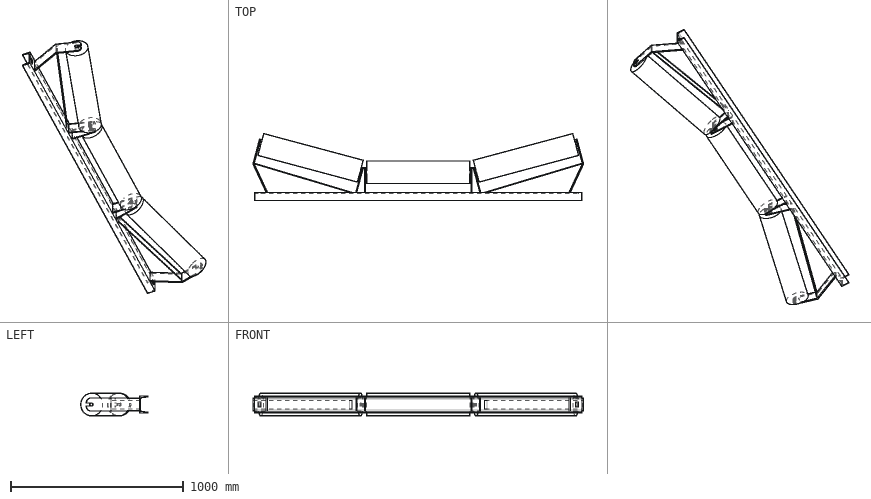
import cadquery as cq
import math


BEAM_LENGTH = 1900.0
BEAM_HEIGHT = 100.0
BEAM_DEPTH = 48.0
WEB_THICKNESS = 5.0
FLANGE_TIP_THICKNESS = 5.0
FLANGE_ROOT_THICKNESS = 12.0
ROOT_FILLET = 8.0

SLOT_WIDTH = 17.0
SLOT_LENGTH = 29.0
SLOT_X = 921.0

ROLLER_DIAMETER = 132.0
ROLLER_LENGTH = 599.0
TROUGH_ANGLE = 15.0
CENTRE_AXIS_Y = 165.0
WING_INNER_X = 335.0
WING_INNER_Y = 170.0
SHAFT_DIAMETER = 20.0

STRIP_WIDTH = 75.0
STRIP_CORNER = 27.0
NOTCH_CUT_LENGTH = 23.0

BEND_OUTERMOST_X = 960.0
BEND_Y = 213.0
BEND_RADIUS = 10.0
LEG_ANGLE = 25.0
OUTER_PLATE_LENGTH = 150.0
OUTER_THICKNESS = 8.0

INNER_LEG_X = 305.0
INNER_FOOT_X = 363.0
INNER_TOP_Y = 192.0
INNER_THICKNESS = 5.0

BRACE_FOOT_X = 385.0
BRACE_THICKNESS = 4.0
BRACE_WIDTH = 50.0

tilt = math.radians(TROUGH_ANGLE)
along = (math.cos(tilt), math.sin(tilt))
across = (-math.sin(tilt), math.cos(tilt))


def point(start, direction, distance):
    return (start[0] + distance * direction[0], start[1] + distance * direction[1])


def mid_extrude(outline, width):
    """Closed XY outline made into a solid of this width, centred on Z = 0."""
    return cq.Workplane("XY").polyline(outline).close().extrude(width / 2, both=True)


wing_inner = (WING_INNER_X, WING_INNER_Y)
wing_outer = point(wing_inner, along, ROLLER_LENGTH)

lean = math.radians(LEG_ANGLE)
half_bend = (lean + tilt) / 2
halving_angle = (tilt - lean) / 2
halving_line = (math.cos(halving_angle), math.sin(halving_angle))
bend_centre_x = BEND_OUTERMOST_X - BEND_RADIUS
outer_bend = (bend_centre_x + BEND_RADIUS / math.cos(half_bend) * halving_line[0], BEND_Y)
inner_bend = point(outer_bend, halving_line, -OUTER_THICKNESS / math.cos(half_bend))
outer_foot_x = outer_bend[0] - (BEND_Y - BEAM_DEPTH) * math.tan(lean)


def distance_along_wing(p):
    return (p[0] - wing_inner[0]) * along[0] + (p[1] - wing_inner[1]) * along[1]


outer_reach = distance_along_wing(outer_bend) - ROLLER_LENGTH
inner_reach = INNER_THICKNESS - distance_along_wing((INNER_FOOT_X, BEAM_DEPTH))
centre_reach = INNER_LEG_X + INNER_THICKNESS - ROLLER_LENGTH / 2


def make_beam():
    half = BEAM_HEIGHT / 2
    tip_z = half - FLANGE_TIP_THICKNESS
    root_z = half - FLANGE_ROOT_THICKNESS
    web_y = BEAM_DEPTH - WEB_THICKNESS
    outline = [
        (BEAM_DEPTH, -half), (BEAM_DEPTH, half), (0, half), (0, tip_z),
        (web_y, root_z), (web_y, -root_z), (0, -tip_z), (0, -half),
    ]
    body = cq.Workplane("YZ").polyline(outline).close().extrude(BEAM_LENGTH / 2, both=True)
    for z in (-root_z, root_z):
        body = body.edges(cq.selectors.NearestToPointSelector((0, web_y, z))).fillet(ROOT_FILLET)
    slots = (
        cq.Workplane("XZ").pushPoints([(-SLOT_X, 0), (SLOT_X, 0)])
        .rect(SLOT_WIDTH, SLOT_LENGTH).extrude(-BEAM_DEPTH)
    )
    return body.cut(slots)


def make_roller(start, direction, near_reach, far_reach):
    """Roller from its start point, with a shaft that reaches past both ends."""
    plane = cq.Plane((start[0], start[1], 0), (0, 0, 1), (direction[0], direction[1], 0))
    shell = cq.Workplane(plane).circle(ROLLER_DIAMETER / 2).extrude(ROLLER_LENGTH)
    shaft = (
        cq.Workplane(plane).workplane(offset=-near_reach)
        .circle(SHAFT_DIAMETER / 2).extrude(near_reach + ROLLER_LENGTH + far_reach)
    )
    return shell.union(shaft)


def shaft_notch(axis_point, direction, depth):
    """Cutter for a round-bottomed notch for a shaft, open on the side away from the beam."""
    plane = cq.Plane((axis_point[0], axis_point[1], 0), (0, 0, -1), (direction[0], direction[1], 0))
    seat = cq.Workplane(plane).circle(SHAFT_DIAMETER / 2).extrude(depth / 2, both=True)
    mouth = (
        cq.Workplane(plane).center(0, STRIP_WIDTH / 2)
        .rect(SHAFT_DIAMETER, STRIP_WIDTH).extrude(depth / 2, both=True)
    )
    return seat.union(mouth)


def make_outer_bracket():
    inner_foot_x = outer_foot_x - OUTER_THICKNESS / math.cos(lean)
    tip = point(outer_bend, across, OUTER_PLATE_LENGTH)
    inner_tip = point(tip, along, -OUTER_THICKNESS)
    body = mid_extrude(
        [(outer_foot_x, BEAM_DEPTH), outer_bend, tip, inner_tip, inner_bend, (inner_foot_x, BEAM_DEPTH)],
        STRIP_WIDTH,
    )
    body = body.edges(cq.selectors.NearestToPointSelector((*outer_bend, 0))).fillet(BEND_RADIUS)
    mid_tip = point(tip, along, -OUTER_THICKNESS / 2)
    for z in (-STRIP_WIDTH / 2, STRIP_WIDTH / 2):
        body = body.edges(cq.selectors.NearestToPointSelector((*mid_tip, z))).fillet(STRIP_CORNER)
    seat = point(wing_outer, along, outer_reach)
    return body.cut(shaft_notch(seat, along, NOTCH_CUT_LENGTH))


def make_inner_bracket():
    shift = math.tan(tilt)
    inside_y = INNER_TOP_Y - INNER_THICKNESS
    lean_thickness = INNER_THICKNESS / math.cos(tilt)
    outer_top_x = INNER_FOOT_X - (INNER_TOP_Y - BEAM_DEPTH) * shift
    inside_top_x = INNER_FOOT_X - lean_thickness - (inside_y - BEAM_DEPTH) * shift
    outline = [
        (INNER_LEG_X, BEAM_DEPTH), (INNER_LEG_X, INNER_TOP_Y), (outer_top_x, INNER_TOP_Y),
        (INNER_FOOT_X, BEAM_DEPTH), (INNER_FOOT_X - lean_thickness, BEAM_DEPTH),
        (inside_top_x, inside_y), (INNER_LEG_X + INNER_THICKNESS, inside_y),
        (INNER_LEG_X + INNER_THICKNESS, BEAM_DEPTH),
    ]
    body = mid_extrude(outline, STRIP_WIDTH)
    wing_seat = point(wing_inner, along, -inner_reach)
    body = body.cut(shaft_notch(wing_seat, along, NOTCH_CUT_LENGTH))
    return body.cut(shaft_notch((INNER_LEG_X, CENTRE_AXIS_Y), (1, 0), NOTCH_CUT_LENGTH))


def make_brace():
    brace_angle = math.atan2(inner_bend[1] - BEAM_DEPTH, inner_bend[0] - BRACE_FOOT_X)
    foot_length = BRACE_THICKNESS / math.sin(brace_angle)
    head_length = BRACE_THICKNESS / math.cos(brace_angle - tilt)
    outline = [
        (BRACE_FOOT_X, BEAM_DEPTH), (BRACE_FOOT_X + foot_length, BEAM_DEPTH), inner_bend,
        point(inner_bend, across, head_length),
    ]
    return mid_extrude(outline, BRACE_WIDTH)


def both_sides(body):
    """The +X body and its mirror image, as two solids."""
    return [body.val(), body.mirror("YZ").val()]


beam = make_beam()
centre_roller = make_roller((-ROLLER_LENGTH / 2, CENTRE_AXIS_Y), (1, 0), centre_reach, centre_reach)
wing_rollers = both_sides(make_roller(wing_inner, along, inner_reach, outer_reach))
outer_brackets = both_sides(make_outer_bracket())
inner_brackets = both_sides(make_inner_bracket())
braces = both_sides(make_brace())

result = cq.Compound.makeCompound([
    beam.val(), centre_roller.val(), *wing_rollers, *outer_brackets, *inner_brackets, *braces,
])